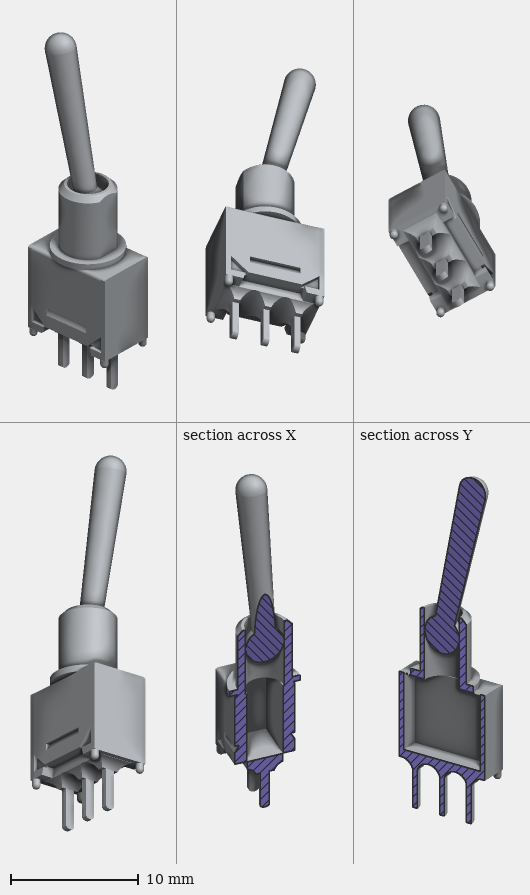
import cadquery as cq
import math


case_length = 8.12
case_width = 5.05
case_height = 7.37

cover_length = 7.3
cover_width = 5.12
cover_bend_radius = 0.27
roof_thickness = 0.1
window_depth = 0.33
cover_bottom_z = 0.72
cover_bottom_length = 4.43
cover_corner_z = 2.07
window_sill_z = 0.63

notch_top_length = 4.82
notch_bottom_length = 5.25

latch_length = 4.15
latch_height = 0.63
latch_bottom_z = 1.83
latch_depth = 0.35

chamber_length = 7.15
chamber_width = 3.02

flange_diameter = 6.0
flange_thickness = 0.55
bushing_diameter = 4.65
bushing_top_z = 13.48
bushing_chamfer = 0.45
bushing_flat_x = 2.1

standoff_diameter = 0.65
standoff_straight = 0.45

terminal_pitch = 2.55
terminal_thickness = 0.5
terminal_width = 0.8
terminal_length = 4.07
terminal_tip_bulge = 0.2

collar_height = 0.72
collar_radius = 1.08
collar_tip_width = 1.55

ball_diameter = 3.25
pivot_z = 11.55
lever_tilt = 12.4
lever_root_radius = 0.9
lever_tip_radius = 1.25
lever_top_z = 25.88


def bent_section(length):
    """Outer section of the cover with bent top edges, extruded along X over the full height."""
    return (
        cq.Workplane("XY")
        .box(length, cover_width, case_height, centered=(True, True, False))
        .edges("|X and >Z")
        .fillet(cover_bend_radius)
    )


def on_long_sides(feature):
    """Join a feature on the -Y side with its mirror image on the +Y side."""
    return feature.union(feature.mirror("XZ"))


def make_frame():
    """Square-cornered block up to the roof, narrower than the cover, with a window for each side."""
    block = cq.Workplane("XY").box(
        case_length, case_width, case_height - roof_thickness, centered=(True, True, False)
    )
    window = (
        cq.Workplane("XY", origin=(0, -case_width / 2, window_sill_z))
        .box(cover_length, window_depth, case_height, centered=(True, False, False))
    )
    return block.cut(on_long_sides(window))


def make_roof():
    """Thin top sheet with rounded edges, over the whole length of the case."""
    sheet = (
        cq.Workplane("XY", origin=(0, 0, case_height - roof_thickness))
        .box(case_length, cover_width, roof_thickness, centered=(True, True, False))
    )
    return bent_section(case_length).intersect(sheet)


def make_cover():
    """Cover between the end walls, whose two sides narrow towards the bottom."""
    outline = (
        cq.Workplane("XZ")
        .moveTo(-cover_bottom_length / 2, cover_bottom_z)
        .lineTo(cover_bottom_length / 2, cover_bottom_z)
        .lineTo(cover_length / 2, cover_corner_z)
        .lineTo(cover_length / 2, case_height)
        .lineTo(-cover_length / 2, case_height)
        .lineTo(-cover_length / 2, cover_corner_z)
        .close()
        .extrude(cover_width / 2, both=True)
    )
    return bent_section(cover_length).intersect(outline)


def make_notches():
    """Trapezoidal openings from the outside in to the face of the chamber base."""
    notch = (
        cq.Workplane("XZ", origin=(0, -chamber_width / 2, 0))
        .moveTo(-notch_bottom_length / 2, 0)
        .lineTo(notch_bottom_length / 2, 0)
        .lineTo(notch_top_length / 2, cover_bottom_z)
        .lineTo(-notch_top_length / 2, cover_bottom_z)
        .close()
        .extrude((cover_width - chamber_width) / 2)
    )
    return on_long_sides(notch)


def make_latch_recesses():
    """Wedge-shaped recesses in the cover sides."""
    face_y = -cover_width / 2
    latch_top_z = latch_bottom_z + latch_height
    recess = (
        cq.Workplane("YZ")
        .moveTo(face_y, latch_bottom_z)
        .lineTo(face_y + latch_depth, latch_top_z)
        .lineTo(face_y, latch_top_z)
        .close()
        .extrude(latch_length / 2, both=True)
    )
    return on_long_sides(recess)


def make_chamber():
    """Hollow standing on a base as thick as the notches are high."""
    height = case_height - roof_thickness - cover_bottom_z
    return (
        cq.Workplane("XY", origin=(0, 0, cover_bottom_z))
        .box(chamber_length, chamber_width, height, centered=(True, True, False))
    )


def make_bushing():
    """Chamfered sleeve with a keying flat on +X, standing on a round flange."""
    height = bushing_top_z - case_height
    sleeve = (
        cq.Workplane("XY", origin=(0, 0, case_height))
        .circle(bushing_diameter / 2)
        .extrude(height)
        .faces(">Z")
        .chamfer(bushing_chamfer)
    )
    beyond_flat = (
        cq.Workplane("XY", origin=(bushing_flat_x, 0, case_height))
        .box(bushing_diameter, bushing_diameter, height, centered=(False, True, False))
    )
    flange = (
        cq.Workplane("XY", origin=(0, 0, case_height))
        .circle(flange_diameter / 2)
        .extrude(flange_thickness)
    )
    return sleeve.cut(beyond_flat).union(flange)


def make_bore():
    """Bore that guides the lever ball and opens into the chamber."""
    return (
        cq.Workplane("XY", origin=(0, 0, case_height - roof_thickness))
        .circle(ball_diameter / 2)
        .extrude(bushing_top_z - case_height + roof_thickness)
    )


def make_standoff(x, y):
    """Round-ended post under a corner of the case."""
    radius = standoff_diameter / 2
    post = cq.Workplane("XY").circle(radius).extrude(-standoff_straight)
    tip = cq.Workplane("XY").sphere(radius).translate((0, 0, -standoff_straight))
    return post.union(tip).translate((x, y, 0))


def make_terminal(x):
    """Flat terminal with a rounded tip."""
    half = terminal_width / 2
    shoulder_z = -terminal_length + terminal_tip_bulge
    return (
        cq.Workplane("YZ", origin=(x, 0, 0))
        .moveTo(-half, 0)
        .lineTo(-half, shoulder_z)
        .threePointArc((0, -terminal_length), (half, shoulder_z))
        .lineTo(half, 0)
        .close()
        .extrude(terminal_thickness / 2, both=True)
    )


def collar_section(plane, tip_width):
    """Bar whose section flares from the tip up to the case along two concave arcs."""
    flare = math.sqrt(collar_radius**2 - (collar_radius - collar_height) ** 2)
    tip = tip_width / 2
    return (
        cq.Workplane(plane)
        .moveTo(-tip, -collar_height)
        .lineTo(tip, -collar_height)
        .radiusArc((tip + flare, 0), collar_radius)
        .lineTo(-tip - flare, 0)
        .radiusArc((-tip, -collar_height), collar_radius)
        .close()
        .extrude(chamber_length / 2, both=True)
    )


def make_collar(x):
    """Sealant collar around one terminal, kept within the outline of the chamber."""
    chamber_outline = cq.Workplane("XY").rect(chamber_length, chamber_width).extrude(-collar_height)
    flared = collar_section("XZ", terminal_thickness).intersect(collar_section("YZ", collar_tip_width))
    return flared.translate((x, 0, 0)).intersect(chamber_outline)


def make_housing():
    """Case, cover, bushing, stand-offs and terminals as one solid."""
    body = make_frame().union(make_roof()).union(make_cover())
    body = body.cut(make_notches()).cut(make_latch_recesses())
    body = body.union(make_bushing()).cut(make_chamber()).cut(make_bore())
    standoff_x = (case_length - standoff_diameter) / 2
    standoff_y = (cover_width - standoff_diameter) / 2
    for x in (-standoff_x, standoff_x):
        for y in (-standoff_y, standoff_y):
            body = body.union(make_standoff(x, y))
    for position in (-1, 0, 1):
        x = position * terminal_pitch
        body = body.union(make_collar(x)).union(make_terminal(x))
    return body


def make_lever():
    """Pivot ball with a tapered, round-ended handle, tilted towards -X."""
    reach = (lever_top_z - lever_tip_radius - pivot_z) / math.cos(math.radians(lever_tilt))
    handle = (
        cq.Workplane("XZ")
        .lineTo(lever_root_radius, 0)
        .lineTo(lever_tip_radius, reach)
        .radiusArc((0, reach + lever_tip_radius), -lever_tip_radius)
        .close()
        .revolve(360, (0, 0, 0), (0, 1, 0))
        .rotate((0, 0, 0), (0, 1, 0), -lever_tilt)
    )
    ball = cq.Workplane("XY").sphere(ball_diameter / 2)
    return ball.union(handle).translate((0, 0, pivot_z))


housing = make_housing()
lever = make_lever()

result = cq.Compound.makeCompound([housing.solids().val(), lever.solids().val()])